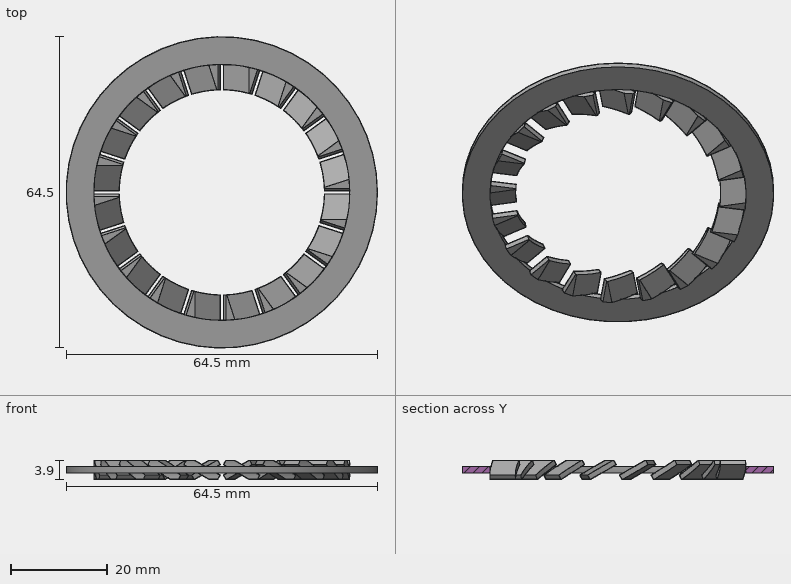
import cadquery as cq
import math

outer_radius = 32.25
ring_inner_radius = 26.5
tooth_tip_radius = 21.25
ring_thickness = 1.4
overall_height = 3.9
tooth_count = 20
tooth_gap = 0.65
ridge_offset = 5.58
twist_angle = 30.0

tooth_pitch = 360.0 / tooth_count
half_height = overall_height / 2
half_gap = tooth_gap / 2
twist_slope = math.tan(math.radians(twist_angle))

edge_height = half_height - (ridge_offset - half_gap) * twist_slope
foot_offset = half_gap + (edge_height + half_height) * twist_slope


def annulus(outer, inner, height):
    """Ring about Z, centred on the XY plane."""
    return cq.Workplane("XY").workplane(offset=-height / 2).circle(outer).circle(inner).extrude(height)


def half_tooth_envelope():
    """Prism along +X, holding the tooth's low end face, upper slope and top flat."""
    return (
        cq.Workplane("YZ")
        .moveTo(-foot_offset, -half_height)
        .lineTo(-half_gap, edge_height)
        .lineTo(-ridge_offset, half_height)
        .lineTo(-outer_radius, half_height)
        .lineTo(-outer_radius, -half_height)
        .close()
        .extrude(outer_radius)
    )


def make_tooth():
    """One tooth, clockwise from +X; a half turn about its own mid radius maps it onto itself."""
    mid_angle = math.radians(tooth_pitch / 2)
    axis_end = (math.cos(mid_angle), -math.sin(mid_angle), 0)
    upper = half_tooth_envelope()
    lower = half_tooth_envelope().rotate((0, 0, 0), axis_end, 180)
    band = annulus(ring_inner_radius, tooth_tip_radius, overall_height)
    return upper.intersect(lower).intersect(band)


def make_washer():
    """Ring with the teeth joined around its bore."""
    washer = annulus(outer_radius, ring_inner_radius, ring_thickness)
    tooth = make_tooth()
    for index in range(tooth_count):
        washer = washer.union(tooth.rotate((0, 0, 0), (0, 0, 1), index * tooth_pitch))
    return washer


result = make_washer()